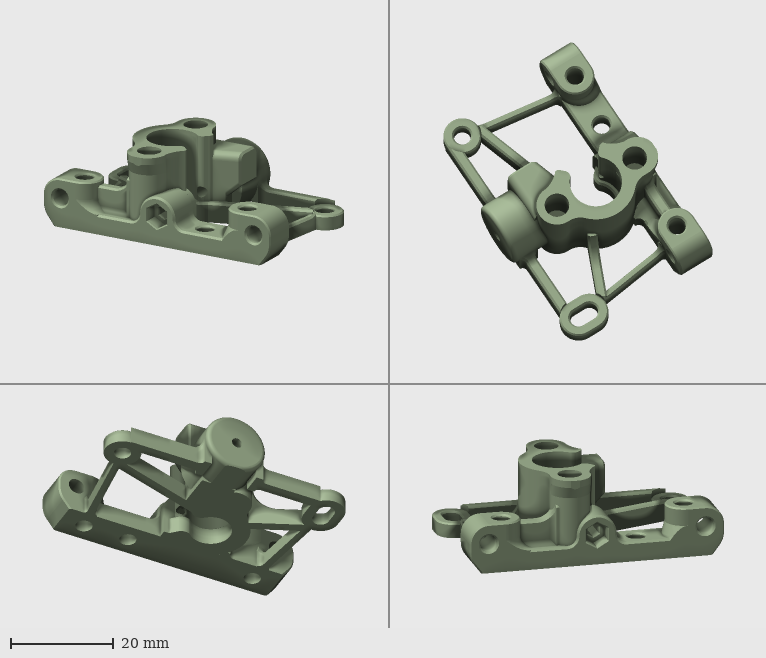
import cadquery as cq
import math


LENGTH = 51.24
DEPTH = 33.71
HEIGHT = 17.5
EDGE = 0.4

BAR_DEPTH = 7.5
BAR_HEIGHT = 4.0
LUG_HEIGHT = 10.0
LUG_CORNER = 3.8
LUG_X = 18.36
LUG_RADIUS = BAR_DEPTH / 2
LUG_EDGE = 0.3
LUG_FOOT = 2.4
LUG_FOOT_TOP = BAR_HEIGHT + LUG_FOOT
RIGHT_FOOT_SPREAD = 0.9
RIGHT_FOOT_SHIFT = 0.9
TAPER_X = 2.3
TAPER_Z = 3.0
TAPER_ROUND = 4.4
BAR_HOLE_X = 8.8

SCREW_DIA = 3.4
SCREW_EDGE = 0.35
SCREW_RIM = SCREW_DIA + 2 * SCREW_EDGE
CROSS_X = LENGTH / 2 - LUG_CORNER
AXIS_Z = 6.0

BOSS_RADIUS = 4.0
BOSS_FOOT = 2.0
BOSS_DEPTH = 9.2
NUT_FLATS = 4.8
NUT_DEPTH = 3.0
PASSAGE_FLATS = 2.74
HEX_EDGE = 0.2
CLAMP_DIA = 2.2

TOWER_X = -4.35
TOWER_Y = 13.58
TOWER_RADIUS = 7.8
BORE_RADIUS = 5.1
LIP_BORE_RADIUS = 4.2
LIP_RIGHT = 3.46
EAR_OFFSET = 9.0
EAR_RADIUS = 4.0
EAR_BLEND = 4.0
EAR_HOLE_DIA = 4.8
EAR_HOLE_DEPTH = 10.0
EAR_FRONT_SHIFT = 0.68
OVERHANG_BOTTOM = 13.8
OVERHANG_TOP = 16.1

JAW_OUTER = (6.05, 5.5)
JAW_HOLLOW = (4.85, 6.9)
JAW_CORNER = (5.6, 4.4)
JAW_CORNER_MID = (6.0, 4.9)
JAW_FACE = (4.9, 3.7)
JAW_NOSE = (4.33, 3.46)
JAW_BORE_Y = 3.55

BARREL_RADIUS = 6.4
BARREL_FRONT = 22.0
BARREL_ROUND = 0.9

BLOCK_RIGHT = 7.03
BLOCK_LEFT = -3.0
BLOCK_BACK = 26.95
BLOCK_FRONT = 20.3
BLOCK_HEIGHT = 14.0
BLOCK_ROUND = 1.6
UNDERCUT_X = 4.2
UNDERCUT_Z = 5.0
UNDERCUT_EDGE_Z = 7.5
UNDERCUT_ROUND = 1.0

PLATE = 3.0
PAD_RADIUS = 3.7
PAD_X = LENGTH / 2 - PAD_RADIUS
PAD_Y = 27.6
PAD_EDGE = 0.3
SLOT_TRAVEL = 2.5
STRUT_HEIGHT = 4.0
STRUT_SINK = 1.5
REAR_STRUT_Y = 30.38
REAR_STRUT_WIDTH = 2.2
REAR_STRUT_FOOT = 2.0
REAR_STRUT_FLARE = 1.0
SIDE_STRUT_FRONT_X = 18.95
SIDE_STRUT_WIDTH = 1.5
SIDE_STRUT_FLARE = 1.0
SIDE_STRUT_RAMP = 2.0
LUG_FLARE = 2.0
LEFT_START = (-21.0, 22.8)
RIGHT_START = (21.3, 24.25)
DIAGONAL_WIDTH = 1.95
DIAGONAL_ANGLE = 17.4
RIGHT_DIAGONAL_LENGTH = 19.5
LEFT_DIAGONAL_END = (-11.0, 18.5)
LEFT_DIAGONAL_FOOT = 5.0
WEB_CORNER = (-11.1, BAR_DEPTH)
WEB_RADIUS = 1.3

RIB_Y = 3.8
RIB_WIDTH = 2.2
RIB_HEIGHT = 9.0
RIB_RUN = 3.5
RIB_RISE = 3.1
RIB_SINK = 0.55
RIB_FLARE = 1.0
RIB_FOOT = 1.0


def box(x0, x1, y0, y1, z0, z1):
    return cq.Workplane("XY").box(x1 - x0, y1 - y0, z1 - z0, centered=False).translate((x0, y0, z0))


def cylinder_z(x, y, radius, z0, z1):
    return cq.Workplane("XY", origin=(x, y, z0)).circle(radius).extrude(z1 - z0)


def cylinder_y(x, z, radius, y0, y1):
    return cq.Workplane("XZ", origin=(x, y0, z)).circle(radius).extrude(y0 - y1)


def lug(side):
    """Rounded lug on one end of the bar; side is -1 (left) or 1 (right)."""
    half = LENGTH / 2
    body = (cq.Workplane("XZ").moveTo(half - TAPER_X, 0).lineTo(half, TAPER_Z).lineTo(half, LUG_HEIGHT)
            .lineTo(0, LUG_HEIGHT).lineTo(0, 0).close().extrude(-BAR_DEPTH))
    body = body.edges("|Y and >X and >Z").fillet(LUG_CORNER)
    taper_corner = cq.selectors.NearestToPointSelector((half, BAR_DEPTH / 2, TAPER_Z))
    body = body.edges(taper_corner).fillet(TAPER_ROUND)
    plan = (cq.Workplane("XY").moveTo(LENGTH, 0).lineTo(LUG_X, 0)
            .threePointArc((LUG_X - LUG_RADIUS, LUG_RADIUS), (LUG_X, BAR_DEPTH))
            .lineTo(LENGTH, BAR_DEPTH).close().extrude(LUG_HEIGHT))
    body = body.intersect(plan)
    upper_part = cq.selectors.BoxSelector((0, -1, LUG_HEIGHT - LUG_CORNER),
                                          (half + 1, BAR_DEPTH + 1, LUG_HEIGHT + 1))
    rim = body.edges(upper_part).edges("not |Y").edges("not |Z")
    body = rim.chamfer(LUG_EDGE)
    if side < 0:
        return body.mirror("YZ").union(left_lug_foot())
    return body.union(right_lug_foot())


def left_lug_foot():
    """Concave round foot of the left lug."""
    foot_end = LUG_RADIUS + LUG_FOOT
    mid = LUG_FOOT * (1 - math.sqrt(0.5))
    return (cq.Workplane("XZ").lineTo(foot_end, 0).lineTo(foot_end, BAR_HEIGHT)
            .threePointArc((LUG_RADIUS + mid, BAR_HEIGHT + mid), (LUG_RADIUS, LUG_FOOT_TOP))
            .lineTo(0, LUG_FOOT_TOP).close().revolve(360, (0, 0), (0, 1))
            .translate((-LUG_X, LUG_RADIUS, 0))
            .intersect(box(-LUG_X, 0, 0, BAR_DEPTH, 0, LUG_HEIGHT)))


def right_lug_foot():
    """Steep tapered foot of the right lug, spread towards the front."""
    return (cq.Workplane("XY", origin=(LUG_X, LUG_RADIUS - RIGHT_FOOT_SHIFT, BAR_HEIGHT - EDGE))
            .circle(LUG_RADIUS + RIGHT_FOOT_SPREAD)
            .workplane(offset=LUG_FOOT + EDGE).center(0, RIGHT_FOOT_SHIFT).circle(LUG_RADIUS).loft()
            .intersect(box(0, LUG_X, 0, BAR_DEPTH, 0, LUG_HEIGHT)))


def bar():
    """Bar whose top swells into the nut boss, with its upper front and back edges broken."""
    foot_z = BAR_HEIGHT + BOSS_FOOT
    foot_x = math.sqrt((BOSS_RADIUS + BOSS_FOOT) ** 2 - (foot_z - AXIS_Z) ** 2)
    mid = BOSS_FOOT * math.sqrt(0.5)
    body = (cq.Workplane("XZ").moveTo(-LUG_X, 0).lineTo(LUG_X, 0).lineTo(LUG_X, BAR_HEIGHT)
            .lineTo(foot_x, BAR_HEIGHT)
            .threePointArc((foot_x - mid, foot_z - mid), (BOSS_RADIUS, foot_z))
            .threePointArc((0, AXIS_Z + BOSS_RADIUS), (-BOSS_RADIUS, foot_z))
            .threePointArc((mid - foot_x, foot_z - mid), (-foot_x, BAR_HEIGHT))
            .lineTo(-LUG_X, BAR_HEIGHT).close().extrude(-BAR_DEPTH))
    return body.edges("not(<Z or <X or >X)").edges("<Y or >Y").chamfer(EDGE)


def boss_neck():
    """Stretch of the nut boss that reaches back under the front jaw."""
    radius = BOSS_RADIUS - EDGE
    neck = cylinder_y(0, AXIS_Z, radius, 0, BOSS_DEPTH)
    neck = neck.union(box(-radius, radius, 0, BOSS_DEPTH, 0, AXIS_Z))
    return neck.cut(cylinder_z(TOWER_X, TOWER_Y, BORE_RADIUS, 0, HEIGHT))


def mirrored(point):
    return (point[0], -point[1])


def ring_blend():
    """Ring end, middle and ear end of the hollow between the clamp ring and an ear."""
    reach_ring = TOWER_RADIUS + EAR_BLEND
    reach_ear = EAR_RADIUS + EAR_BLEND
    blend_y = (EAR_OFFSET ** 2 + reach_ring ** 2 - reach_ear ** 2) / (2 * EAR_OFFSET)
    blend_x = -math.sqrt(reach_ring ** 2 - blend_y ** 2)
    ring_touch = (blend_x * TOWER_RADIUS / reach_ring, blend_y * TOWER_RADIUS / reach_ring)
    share = EAR_RADIUS / reach_ear
    ear_touch = (blend_x * share, EAR_OFFSET + (blend_y - EAR_OFFSET) * share)
    mid_angle = math.atan2(EAR_OFFSET / 2 - blend_y, -blend_x)
    blend_mid = (blend_x + EAR_BLEND * math.cos(mid_angle), blend_y + EAR_BLEND * math.sin(mid_angle))
    return ring_touch, blend_mid, ear_touch


def tower_wire():
    """Outline of the clamp: ring, both ears and both jaws around the open bore."""
    ring_touch, blend_mid, ear_touch = ring_blend()
    bore_end = (math.sqrt(BORE_RADIUS ** 2 - JAW_BORE_Y ** 2), JAW_BORE_Y)
    ear_side = (EAR_RADIUS, EAR_OFFSET)
    ear_top = (0, EAR_OFFSET + EAR_RADIUS)
    return (cq.Workplane("XY", origin=(TOWER_X, TOWER_Y, 0)).moveTo(*ring_touch)
            .threePointArc(blend_mid, ear_touch)
            .threePointArc(ear_top, ear_side)
            .threePointArc(JAW_HOLLOW, JAW_OUTER)
            .threePointArc(JAW_CORNER_MID, JAW_CORNER)
            .lineTo(*JAW_FACE)
            .threePointArc(JAW_NOSE, bore_end)
            .threePointArc((-BORE_RADIUS, 0), mirrored(bore_end))
            .threePointArc(mirrored(JAW_NOSE), mirrored(JAW_FACE))
            .lineTo(*mirrored(JAW_CORNER))
            .threePointArc(mirrored(JAW_CORNER_MID), mirrored(JAW_OUTER))
            .threePointArc(mirrored(JAW_HOLLOW), mirrored(ear_side))
            .threePointArc(mirrored(ear_top), mirrored(ear_touch))
            .threePointArc(mirrored(blend_mid), mirrored(ring_touch))
            .threePointArc((-TOWER_RADIUS, 0), ring_touch).close())


def jaw_lip():
    """Low lip that follows the bore and the jaws and narrows them by a constant step."""
    step = BORE_RADIUS - LIP_BORE_RADIUS
    sloped = tower_wire().offset2D(step).extrude(EDGE, taper=45).translate((0, 0, STRUT_HEIGHT - EDGE))
    grown = tower_wire().offset2D(step).extrude(STRUT_HEIGHT - EDGE).union(sloped)
    reach = BORE_RADIUS + step
    keep = cylinder_z(TOWER_X, TOWER_Y, reach, 0, HEIGHT)
    keep = keep.union(box(TOWER_X, LIP_RIGHT, TOWER_Y - reach, TOWER_Y + reach, 0, HEIGHT))
    return grown.intersect(keep)


def ear_overhang():
    """Forward shift of the front ear's top, tapering back to the ear below."""
    ear_y = TOWER_Y - EAR_OFFSET
    taper = (cq.Workplane("XY", origin=(TOWER_X, ear_y, OVERHANG_BOTTOM)).circle(EAR_RADIUS)
             .workplane(offset=OVERHANG_TOP - OVERHANG_BOTTOM).center(0, -EAR_FRONT_SHIFT)
             .circle(EAR_RADIUS).loft())
    body = taper.union(cylinder_z(TOWER_X, ear_y - EAR_FRONT_SHIFT, EAR_RADIUS, OVERHANG_TOP, HEIGHT))
    return body.intersect(box(-LENGTH, LENGTH, 0, DEPTH, 0, HEIGHT))


def barrel():
    """Round barrel behind the tower, cut flat by the base."""
    body = cylinder_y(0, AXIS_Z, BARREL_RADIUS, BARREL_FRONT, DEPTH)
    body = body.faces(">Y").edges().fillet(BARREL_ROUND)
    return body.intersect(box(-LENGTH, LENGTH, 0, DEPTH, 0, HEIGHT))


def block():
    """Block beside the rear ear, its front face parallel to the right diagonal strut."""
    left_front = BLOCK_FRONT - (BLOCK_RIGHT - BLOCK_LEFT) * math.tan(math.radians(DIAGONAL_ANGLE))
    body = (cq.Workplane("XY").moveTo(BLOCK_RIGHT, BLOCK_BACK).lineTo(BLOCK_LEFT, BLOCK_BACK)
            .lineTo(BLOCK_LEFT, left_front).lineTo(BLOCK_RIGHT, BLOCK_FRONT)
            .close().extrude(BLOCK_HEIGHT))
    body = body.faces(">Z").edges("not <X").edges("not >X").fillet(BLOCK_ROUND)
    body = body.faces(">X").edges("not <Z").chamfer(EDGE)
    undercut = (cq.Workplane("XZ").moveTo(UNDERCUT_X, 0).lineTo(UNDERCUT_X, UNDERCUT_Z)
                .lineTo(BLOCK_RIGHT, UNDERCUT_EDGE_Z).lineTo(BLOCK_RIGHT + 1, UNDERCUT_EDGE_Z)
                .lineTo(BLOCK_RIGHT + 1, 0).close().extrude(-DEPTH))
    body = body.cut(undercut)
    corner = ((UNDERCUT_X + BLOCK_RIGHT) / 2, BLOCK_FRONT, (UNDERCUT_Z + UNDERCUT_EDGE_Z) / 2)
    body = body.edges(cq.selectors.NearestToPointSelector(corner)).fillet(UNDERCUT_ROUND)
    return body.cut(cylinder_z(TOWER_X, TOWER_Y, BORE_RADIUS + 1, 0, HEIGHT))


def strut(start, end, width, height, foot=(0, 0), flare=0):
    """Strut between two points in plan, with chamfered upper edges.

    foot is the (run, rise) of the curve that lifts the top towards the end point, and flare is the
    radius that widens the strut there.  The strut runs on past its end to sink into the wall.
    """
    dx = end[0] - start[0]
    dy = end[1] - start[1]
    length = math.hypot(dx, dy)
    half = width / 2
    run, rise = foot
    side = cq.Workplane("XZ", origin=(0, width, 0)).lineTo(0, height)
    if rise:
        radius = (run ** 2 + rise ** 2) / (2 * rise)
        half_turn = math.asin(run / radius) / 2 if run < radius else math.pi / 4
        arc_start = length - run
        arc_mid = (arc_start + radius * math.sin(half_turn), height + radius * (1 - math.cos(half_turn)))
        side = side.lineTo(arc_start, height).threePointArc(arc_mid, (length, height + rise))
    side = (side.lineTo(length + STRUT_SINK, height + rise).lineTo(length + STRUT_SINK, 0)
            .close().extrude(2 * width))
    plan = cq.Workplane("XY").moveTo(0, half)
    if flare:
        mid = flare * (1 - math.sqrt(0.5))
        plan = (plan.lineTo(length - flare, half)
                .threePointArc((length - mid, half + mid), (length, half + flare))
                .lineTo(length + STRUT_SINK, half + flare).lineTo(length + STRUT_SINK, -half - flare)
                .lineTo(length, -half - flare)
                .threePointArc((length - mid, -half - mid), (length - flare, -half)))
    else:
        plan = plan.lineTo(length + STRUT_SINK, half).lineTo(length + STRUT_SINK, -half)
    body = plan.lineTo(0, -half).close().extrude(height + rise).intersect(side)
    above_base = cq.selectors.BoxSelector((-1, -length, EDGE), (length + STRUT_SINK, length, HEIGHT))
    upper = body.edges(above_base).edges("not |Z").edges("not |Y")
    body = upper.chamfer(EDGE)
    return body.rotate((0, 0, 0), (0, 0, 1), math.degrees(math.atan2(dy, dx))).translate((*start, 0))


def rear_struts():
    """Pair of straight struts from the pads to the barrel."""
    foot = (REAR_STRUT_FOOT, REAR_STRUT_FOOT)
    left = strut((-PAD_X, REAR_STRUT_Y), (-BARREL_RADIUS, REAR_STRUT_Y), REAR_STRUT_WIDTH,
                 STRUT_HEIGHT, foot, REAR_STRUT_FLARE)
    return left.union(left.mirror("YZ"))


def side_strut(side, rear):
    """Low strut from the bar to a pad corner, curving up at both ends."""
    front = (side * SIDE_STRUT_FRONT_X, BAR_DEPTH)
    middle = ((front[0] + rear[0]) / 2, (front[1] + rear[1]) / 2)
    to_lug = strut(middle, front, SIDE_STRUT_WIDTH, PLATE, (LUG_FLARE, LUG_FLARE), SIDE_STRUT_FLARE)
    to_pad = strut(middle, rear, SIDE_STRUT_WIDTH, PLATE, (SIDE_STRUT_RAMP, STRUT_HEIGHT - PLATE))
    return to_lug.union(to_pad)


def diagonals():
    """Struts from the pad corners to the tower; the left one sweeps up the clamp ring."""
    left = strut(LEFT_START, LEFT_DIAGONAL_END, DIAGONAL_WIDTH, STRUT_HEIGHT,
                 (LEFT_DIAGONAL_FOOT, LEFT_DIAGONAL_FOOT))
    reach = RIGHT_DIAGONAL_LENGTH
    angle = math.radians(DIAGONAL_ANGLE)
    end = (RIGHT_START[0] - reach * math.cos(angle), RIGHT_START[1] - reach * math.sin(angle))
    right = strut(RIGHT_START, end, DIAGONAL_WIDTH, STRUT_HEIGHT)
    return left.union(right)


def pad_plan(side, radius, height):
    """Pad outline as a solid: stretched along Y on the left, round on the right."""
    if side > 0:
        return cylinder_z(PAD_X, PAD_Y, radius, 0, height)
    return (cq.Workplane("XY", origin=(-PAD_X, PAD_Y, 0))
            .slot2D(SLOT_TRAVEL + 2 * radius, 2 * radius, 90).extrude(height))


def frame():
    """Pads and struts; the struts stop short of the lower pad faces."""
    body = rear_struts().union(diagonals())
    body = body.union(side_strut(-1, LEFT_START)).union(side_strut(1, RIGHT_START))
    for side in (-1, 1):
        pad = pad_plan(side, PAD_RADIUS, PLATE)
        body = body.cut(pad_plan(side, PAD_RADIUS, HEIGHT))
        body = body.union(pad.faces(">Z").edges().chamfer(PAD_EDGE))
    return body


def rib():
    """Rib from the left lug that sweeps up the side of the front ear, with a filleted foot."""
    wall = TOWER_X - EAR_RADIUS + RIB_SINK
    body = strut((-LUG_X, RIB_Y), (wall, RIB_Y), RIB_WIDTH, RIB_HEIGHT, (RIB_RUN, RIB_RISE), RIB_FLARE)
    half = RIB_WIDTH / 2
    mid = RIB_FOOT * (1 - math.sqrt(0.5))
    foot_top = BAR_HEIGHT + RIB_FOOT
    foot = (cq.Workplane("YZ", origin=(-LUG_X, RIB_Y, 0)).moveTo(-half - RIB_FOOT, BAR_HEIGHT)
            .threePointArc((-half - mid, BAR_HEIGHT + mid), (-half, foot_top)).lineTo(half, foot_top)
            .threePointArc((half + mid, BAR_HEIGHT + mid), (half + RIB_FOOT, BAR_HEIGHT))
            .close().extrude(LUG_X + TOWER_X))
    return body.union(foot)


def ring_web():
    """Hollow web that fills the corner between the clamp ring and the back of the bar."""
    x, y = WEB_CORNER
    mid = WEB_RADIUS * (1 - math.sqrt(0.5))
    inner_x = TOWER_X - BORE_RADIUS
    return (cq.Workplane("XY").moveTo(x - WEB_RADIUS, y)
            .threePointArc((x - mid, y + mid), (x, y + WEB_RADIUS))
            .lineTo(inner_x, y + WEB_RADIUS).lineTo(inner_x, y - EDGE)
            .lineTo(x - WEB_RADIUS, y - EDGE).close().extrude(BAR_HEIGHT))


def cut_holes(body):
    """Cut the screw holes, the slot and the blind ear holes; outer screw hole edges are broken."""
    mid_y = BAR_DEPTH / 2
    for x, y, top in ((-LUG_X, mid_y, LUG_HEIGHT), (LUG_X, mid_y, LUG_HEIGHT),
                      (BAR_HOLE_X, mid_y, BAR_HEIGHT), (PAD_X, PAD_Y, PLATE)):
        face = cq.Workplane("XY", origin=(x, y, top))
        body = body.cut(face.circle(SCREW_DIA / 2).extrude(-top))
        body = body.cut(face.circle(SCREW_RIM / 2).extrude(-SCREW_EDGE, taper=45))
    face = cq.Workplane("XY", origin=(-PAD_X, PAD_Y, PLATE))
    body = body.cut(face.slot2D(SLOT_TRAVEL + SCREW_DIA, SCREW_DIA, 90).extrude(-PLATE))
    body = body.cut(face.slot2D(SLOT_TRAVEL + SCREW_RIM, SCREW_RIM, 90).extrude(-SCREW_EDGE, taper=45))
    for side in (-1, 1):
        face = cq.Workplane("XZ", origin=(side * CROSS_X, 0, AXIS_Z))
        body = body.cut(face.circle(SCREW_DIA / 2).extrude(-BAR_DEPTH))
        body = body.cut(face.circle(SCREW_RIM / 2).extrude(-SCREW_EDGE, taper=45))
        ear_y = TOWER_Y + side * EAR_OFFSET
        body = body.cut(cylinder_z(TOWER_X, ear_y, EAR_HOLE_DIA / 2, HEIGHT - EAR_HOLE_DEPTH, HEIGHT))
    return body


def cut_hexagon(body, rim_flats, y0, y1):
    """Cut an upright hexagonal pocket on the clamp axis; rim_flats is its size at the broken edge."""
    face = cq.Workplane("XZ", origin=(0, y0, AXIS_Z)).transformed(rotate=(0, 0, 30))
    across_corners = 1 / math.cos(math.pi / 6)
    body = body.cut(face.polygon(6, (rim_flats - 2 * HEX_EDGE) * across_corners).extrude(y0 - y1))
    return body.cut(face.polygon(6, rim_flats * across_corners).extrude(-HEX_EDGE, taper=45))


def cut_clamp_screw(body):
    """Hexagonal nut pocket, smaller hexagonal passage and round bore along the clamp axis."""
    body = cut_hexagon(body, NUT_FLATS, 0, NUT_DEPTH)
    body = cut_hexagon(body, PASSAGE_FLATS, NUT_DEPTH, BOSS_DEPTH)
    return body.cut(cylinder_y(0, AXIS_Z, CLAMP_DIA / 2, 0, DEPTH))


parts = [bar(), lug(-1), lug(1), boss_neck(), barrel(), block(), frame(), rib(), ring_web(),
         ear_overhang(), jaw_lip()]
result = tower_wire().extrude(HEIGHT)
for part in parts:
    result = result.union(part)
result = cut_clamp_screw(cut_holes(result))